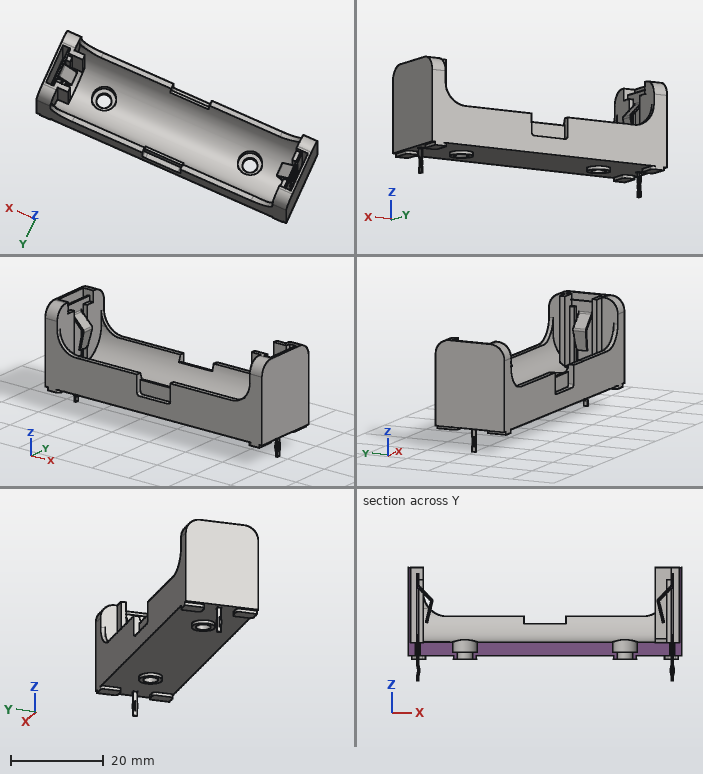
import cadquery as cq
import math


LENGTH = 58.95
WIDTH = 16.5
HEIGHT = 19.05
HALF_LENGTH = LENGTH / 2
TOP_CORNER_R = 3.25
END_WALL = 3.3
INNER_END = HALF_LENGTH - END_WALL

CRADLE_R = 7.25
CRADLE_AXIS_Z = 10.25
RAIL_Z = 8.55
RAIL_END_R = 5.05

NOTCH_LENGTH = 9.0
NOTCH_FLOOR_Z = 3.7
NOTCH_LIP_Z = 6.95
NOTCH_DEPTH = 1.25
NOTCH_CORNER_R = 0.7

HOLE_X = 17.2
HOLE_D = 3.25
HOLE_RECESS_D = 5.25
HOLE_RECESS_Z = 0.8
STANDOFF = 0.7
BOSS_D = 5.0

FOOT_LENGTH = 3.0
FOOT_WIDTH = 4.65
FOOT_INSET = 0.75
FOOT_CORNER_R = 0.7

POCKET_WIDTH = 8.9
POCKET_INSET = 0.6
POST_GAP = 4.4
POST_TOP_Z = 16.4
RIB_GAP = 6.6
RIB_LENGTH = 2.5
RIB_FLOOR_DROP = 0.1
POCKET_FLOOR_Z = CRADLE_AXIS_Z - CRADLE_R - RIB_FLOOR_DROP

SHEET = 0.4
PLATE_INSET = 1.9
PLATE_TOP_Z = 17.7
PLATE_X = PLATE_INSET - HALF_LENGTH
PLATE_FRONT_X = PLATE_X + SHEET
PLATE_MID_X = PLATE_X + SHEET / 2
WINDOW_WIDTH = 4.1
WINDOW_BOTTOM_Z = 4.6
TONGUE_WIDTH = 3.05
TONGUE_TIP_WIDTH = 2.5
TONGUE_ROOT_Z = 15.15
TONGUE_KNEE_Z = 11.95
TONGUE_KNEE_REACH = 3.05
TONGUE_SLOPE = (TONGUE_ROOT_Z - TONGUE_KNEE_Z) / TONGUE_KNEE_REACH
TONGUE_BASE_Z = TONGUE_ROOT_Z - SHEET * math.hypot(1, TONGUE_SLOPE)
TONGUE_TIP_Z = 7.2
TONGUE_TIP_REACH = 1.9
TONGUE_KNEE_R = 0.6
TONGUE_ROOT_R = 0.55
PIN_WIDTH = 0.9
PIN_SPLIT_Y = -0.05
PIN_BOTTOM_Z = -5.35
PIN_BULGE_TOP_Z = -2.0
PIN_BULGE_BOTTOM_Z = -4.25
PIN_BULGE = 0.205
PIN_SLOT = 1.05


def box(x0, x1, y0, y1, z0, z1):
    """Box between two corners."""
    return cq.Workplane("XY").box(x1 - x0, y1 - y0, z1 - z0, centered=False).translate((x0, y0, z0))


def centred_box(x0, x1, width, z0, z1):
    """Box that is symmetric about Y = 0."""
    return box(x0, x1, -width / 2, width / 2, z0, z1)


def mirrored_x(shape):
    return shape.mirror("YZ")


def mirrored_y(shape):
    return shape.mirror("XZ")


def make_block():
    block = centred_box(-HALF_LENGTH, HALF_LENGTH, WIDTH, 0, HEIGHT)
    return block.edges("|X and >Z").fillet(TOP_CORNER_R)


def side_opening():
    """Everything above the low side walls, swept up to the end walls."""
    opening = centred_box(-INNER_END, INNER_END, WIDTH, RAIL_Z, 2 * HEIGHT)
    return opening.edges("|Y and <Z").fillet(RAIL_END_R)


def cradle(x0, x1, radius):
    """Round-bottomed trough, open at the top."""
    trough = (
        cq.Workplane("YZ", origin=(x0, 0, 0))
        .moveTo(-radius, HEIGHT)
        .lineTo(-radius, CRADLE_AXIS_Z)
        .threePointArc((0, CRADLE_AXIS_Z - radius), (radius, CRADLE_AXIS_Z))
        .lineTo(radius, HEIGHT)
        .close()
    )
    return trough.extrude(x1 - x0)


def side_notch():
    """Notch in the -Y side wall, with a thin lower wall left on its inner side."""
    half = NOTCH_LENGTH / 2
    outer = -WIDTH / 2
    recess = box(-half, half, outer, outer + NOTCH_DEPTH, NOTCH_FLOOR_Z, HEIGHT)
    recess = recess.edges("|Y and <Z").fillet(NOTCH_CORNER_R)
    return recess.union(box(-half, half, outer, 0, NOTCH_LIP_Z, HEIGHT))


def foot():
    """Foot at the -X, -Y corner; only its outermost corner is sharp."""
    x0 = FOOT_INSET - HALF_LENGTH
    y0 = -WIDTH / 2
    pad = box(x0, x0 + FOOT_LENGTH, y0, y0 + FOOT_WIDTH, -STANDOFF, 0)
    pad = pad.edges("|Z and >X").fillet(FOOT_CORNER_R)
    return pad.edges("|Z and <X and >Y").fillet(FOOT_CORNER_R)


def contact_pocket():
    """Pocket in the -X end wall, open to the cradle, with the slot for the pin."""
    pocket = centred_box(POCKET_INSET - HALF_LENGTH, -INNER_END, POCKET_WIDTH, POCKET_FLOOR_Z, HEIGHT)
    pin_slot = centred_box(
        PLATE_MID_X - PIN_SLOT / 2, PLATE_MID_X + PIN_SLOT / 2, PIN_WIDTH, 0, POCKET_FLOOR_Z
    )
    return pocket.union(pin_slot)


def post():
    """Post on the -Y side of the -X pocket that keeps the contact plate in place."""
    return box(PLATE_FRONT_X, -INNER_END, -POCKET_WIDTH / 2, -POST_GAP / 2, 0, POST_TOP_Z)


def rib():
    """Full-height rib on the -Y side of the +X end, from the plate into the cradle."""
    return box(
        INNER_END - RIB_LENGTH, -PLATE_FRONT_X, -POCKET_WIDTH / 2, -RIB_GAP / 2, 0, HEIGHT
    )


def make_housing():
    body = make_block().cut(side_opening()).cut(cradle(-INNER_END, INNER_END, CRADLE_R))

    notch = side_notch()
    body = body.cut(notch).cut(mirrored_y(notch))

    pocket = contact_pocket()
    body = body.cut(pocket).cut(mirrored_x(pocket))
    for end_post in (post(), mirrored_x(post())):
        body = body.union(end_post).union(mirrored_y(end_post))

    rib_floor = cradle(INNER_END - RIB_LENGTH, INNER_END, CRADLE_R + RIB_FLOOR_DROP)
    rib_floor = rib_floor.intersect(centred_box(0, HALF_LENGTH, RIB_GAP, 0, CRADLE_AXIS_Z))
    body = body.cut(rib_floor).union(rib()).union(mirrored_y(rib()))

    for corner_foot in (foot(), mirrored_x(foot())):
        body = body.union(corner_foot).union(mirrored_y(corner_foot))

    hole_points = [(-HOLE_X, 0), (HOLE_X, 0)]
    base = cq.Workplane("XY", origin=(0, 0, -STANDOFF)).pushPoints(hole_points)
    recess_base = cq.Workplane("XY", origin=(0, 0, HOLE_RECESS_Z)).pushPoints(hole_points)
    body = body.union(base.circle(BOSS_D / 2).extrude(STANDOFF))
    body = body.cut(base.circle(HOLE_D / 2).extrude(HEIGHT))
    return body.cut(recess_base.circle(HOLE_RECESS_D / 2).extrude(HEIGHT))


def sheet_normal(start, end):
    """Unit normal of a strip that runs from start to end, on its under side."""
    dx = end[0] - start[0]
    dz = end[1] - start[1]
    size = math.hypot(dx, dz)
    return dz / size, -dx / size


def make_tongue():
    """Spring tongue bent out of the plate: down to a knee, then back towards the plate."""
    root = (PLATE_FRONT_X, TONGUE_ROOT_Z)
    knee = (PLATE_FRONT_X + TONGUE_KNEE_REACH, TONGUE_KNEE_Z)
    tip = (PLATE_FRONT_X + TONGUE_TIP_REACH, TONGUE_TIP_Z)
    upper = sheet_normal(root, knee)
    lower = sheet_normal(knee, tip)

    miter = SHEET / (1 + upper[0] * lower[0] + upper[1] * lower[1])
    inner_knee = (knee[0] + miter * (upper[0] + lower[0]), knee[1] + miter * (upper[1] + lower[1]))
    inner_tip = (tip[0] + SHEET * lower[0], tip[1] + SHEET * lower[1])
    strip = (
        cq.Workplane("XZ", origin=(0, TONGUE_WIDTH / 2, 0))
        .polyline([root, knee, tip, inner_tip, inner_knee, (PLATE_FRONT_X, TONGUE_BASE_Z)])
        .close()
        .extrude(TONGUE_WIDTH)
    )
    strip = strip.edges("|Y and >X").fillet(TONGUE_KNEE_R)

    half = TONGUE_WIDTH / 2
    half_tip = TONGUE_TIP_WIDTH / 2
    tip_end_z = min(tip[1], inner_tip[1])
    taper = (
        cq.Workplane("YZ", origin=(PLATE_X, 0, 0))
        .polyline([
            (-half, TONGUE_ROOT_Z),
            (half, TONGUE_ROOT_Z),
            (half, TONGUE_KNEE_Z),
            (half_tip, tip_end_z),
            (-half_tip, tip_end_z),
            (-half, TONGUE_KNEE_Z),
        ])
        .close()
        .extrude(HALF_LENGTH)
    )
    return strip.intersect(taper)


def pin_leg(y0, y1, bow):
    """One leg of the split pin between two Y positions, bowed sideways by a signed distance."""
    bow_z = (PIN_BULGE_TOP_Z + PIN_BULGE_BOTTOM_Z) / 2
    back = PLATE_X
    front = PLATE_FRONT_X
    leg = (
        cq.Workplane("XZ", origin=(0, y1, 0))
        .moveTo(back, POCKET_FLOOR_Z)
        .lineTo(back, PIN_BULGE_TOP_Z)
        .threePointArc((back + bow, bow_z), (back, PIN_BULGE_BOTTOM_Z))
        .lineTo(back, PIN_BOTTOM_Z)
        .lineTo(front, PIN_BOTTOM_Z)
        .lineTo(front, PIN_BULGE_BOTTOM_Z)
        .threePointArc((front + bow, bow_z), (front, PIN_BULGE_TOP_Z))
        .lineTo(front, POCKET_FLOOR_Z)
        .close()
    )
    return leg.extrude(y1 - y0)


def make_contact():
    """Contact of the -X end: plate, tongue and split pin in one piece."""
    plate = centred_box(PLATE_X, PLATE_FRONT_X, POCKET_WIDTH, POCKET_FLOOR_Z, PLATE_TOP_Z)
    window = centred_box(PLATE_X, PLATE_FRONT_X, WINDOW_WIDTH, WINDOW_BOTTOM_Z, TONGUE_BASE_Z)
    contact = plate.cut(window).union(make_tongue())
    root_edge = cq.selectors.BoxSelector(
        (PLATE_FRONT_X - SHEET / 4, -TONGUE_WIDTH, TONGUE_ROOT_Z - SHEET / 4),
        (PLATE_FRONT_X + SHEET / 4, TONGUE_WIDTH, TONGUE_ROOT_Z + SHEET / 4),
    )
    contact = contact.edges(root_edge).fillet(TONGUE_ROOT_R)
    minus_y_leg = pin_leg(-PIN_WIDTH / 2, PIN_SPLIT_Y, -PIN_BULGE)
    plus_y_leg = pin_leg(PIN_SPLIT_Y, PIN_WIDTH / 2, PIN_BULGE)
    return contact.union(minus_y_leg).union(plus_y_leg)


housing = make_housing()
contacts = [make_contact().rotate((0, 0, 0), (0, 0, 1), angle) for angle in (0, 180)]

result = cq.Compound.makeCompound([housing.val(), *[contact.val() for contact in contacts]])